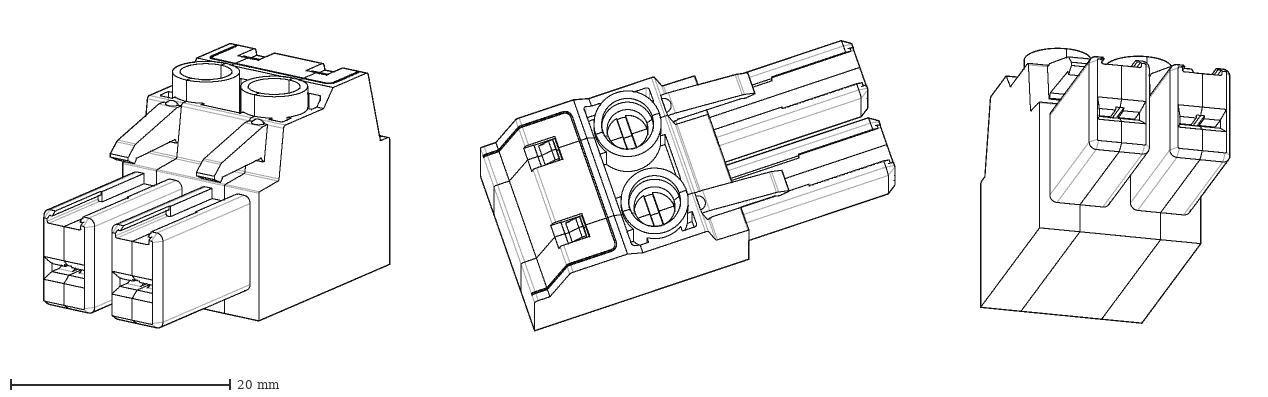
import cadquery as cq

PITCH = 7.6
WIDTH = 2 * PITCH
POLES = (-PITCH / 2, PITCH / 2)
REAR_Y = 20.65
PRONG_TIP_Y = REAR_Y - 35.25

LEDGE_FRONT_Z = 12.35
SLOPE_FOOT_Y = 3.17
SLOPE_FOOT_Z = 12.62
SLOPE_TOP_Y = 3.95
RIM_Z = 17.65
RIM_REAR_Y = 10.22
TOP_FRONT_Y = 11.7
TOP_Z = 19.28
TOP_REAR_Y = 17.2
REAR_STEP_Y = 19.18
REAR_STEP_Z = 12.23
EDGE_RADIUS = 0.35
RIM_EDGE_RADIUS = 0.28
FOOT_RADIUS = 0.18
FRONT_EDGE_RADIUS = 0.1

TUBE_Y = 7.8
TUBE_RADIUS = 3.05
TUBE_TOP_Z = 19.7
WELL_RADIUS = 2.35
BORE_RADIUS = 1.87
CONE_TOP_Z = 18.15
CONE_BOTTOM_Z = 17.25
SCREW_HEAD_Z = 14.8
DRIVER_SLOT_WIDTH = 0.85
DRIVER_SLOT_DEPTH = 0.7

POCKET_FRONT_Y = 4.72
POCKET_REAR_Y = 11.0
POCKET_WIDTH = 13.7
POCKET_CORNER_RADIUS = 0.25
POCKET_FLOOR_Z = 13.4
RIB_WIDTH = 3.25
REAR_RIB_Z = 18.5

PANEL_WIDTH = 13.75
PANEL_FRONT_Y = 12.3
PANEL_CORNER_RADIUS = 0.7
GROOVE_WIDTH = 0.15
GROOVE_DEPTH = 0.15

NOTCH_WIDTH = 2.25
NOTCH_FRONT_Y = 14.4
NOTCH_STEP_Y = 16.43
NOTCH_REAR_FLOOR_Z = 18.55
NOTCH_FRONT_FLOOR_Z = 18.4
RAMP_WIDTH = 1.87
RAMP_FRONT_Y = 14.65
RAMP_CREST_Y = 15.1
RAMP_REAR_Y = 16.05
RAMP_TOP_Z = 19.1

PRONG_WIDTH = 5.68
PRONG_BOTTOM_Z = 2.65
PRONG_TOP_Z = 11.75
PRONG_CORNER_RADIUS = 0.67
TIP_INSET = 0.55
TIP_LENGTH = 0.85

CHANNEL_FLOOR_Z = 10.75
CHANNEL_REAR_WIDTH = 2.82
CHANNEL_FRONT_WIDTH = 3.1
CHANNEL_STEP_Y = -6.6
UNDERCUT_WIDTH = 3.75
UNDERCUT_HEIGHT = 0.65
UNDERCUT_RADIUS = 0.18

FUNNEL_WIDTH = PRONG_WIDTH - 2 * TIP_INSET
FUNNEL_BOTTOM_Z = 5.3
FUNNEL_TOP_Z = 7.47
FUNNEL_DEPTH = 0.78
OPENING_WIDTH = 3.8
OPENING_BOTTOM_Z = 5.9
OPENING_TOP_Z = 6.65
OPENING_DEPTH = 1.75
OPENING_RADIUS = 0.7
CONTACT_GAP_WIDTH = 0.75
CONTACT_GAP_TOP_Z = 6.87
CONTACT_GAP_DEPTH = 2.1

LATCH_WIDTH = 2.0
LATCH_ROOT_Y = 4.6
LATCH_ROOT_Z = 14.05
LATCH_FLAT_Z = 17.45
LATCH_FLAT_Y = 3.17
LATCH_BEND_Y = -3.4
LATCH_BEND_Z = 15.65
LATCH_BEND_RADIUS = 0.53
LATCH_NOSE_Y = -4.48
LATCH_NOSE_TOP_Z = 14.7
LATCH_NOSE_BOTTOM_Z = 14.38
HOOK_Y = -3.5
HOOK_Z = 13.85
HOOK_REAR_Y = -3.15
LATCH_UNDERSIDE_FRONT_Z = 14.28
LATCH_HEEL_Y = 2.93
LATCH_UNDERSIDE_REAR_Z = 14.5
DOME_RADIUS = 0.67
DOME_HEIGHT = 0.3


def box(x0, x1, y0, y1, z0, z1):
    return cq.Workplane("XY").box(x1 - x0, y1 - y0, z1 - z0, centered=False).translate((x0, y0, z0))


def pole_box(x, width, y0, y1, z0, z1):
    return box(x - width / 2, x + width / 2, y0, y1, z0, z1)


def side_profile(points, x, width):
    """Extrudes a closed (Y, Z) outline over a width centred on x."""
    return cq.Workplane("YZ").polyline(points).close().extrude(width / 2, both=True).translate((x, 0, 0))


def cylinder(x, radius, z0, z1):
    return cq.Workplane("XY", origin=(x, TUBE_Y, z0)).circle(radius).extrude(z1 - z0)


def round_edge(body, x, y, z, radius):
    """Rounds the edge along X whose middle is at (x, y, z)."""
    return body.edges("|X").edges(cq.selectors.NearestToPointSelector((x, y, z))).fillet(radius)


def housing_block():
    block = side_profile(
        [
            (0, 0),
            (0, LEDGE_FRONT_Z),
            (SLOPE_FOOT_Y, SLOPE_FOOT_Z),
            (SLOPE_TOP_Y, RIM_Z),
            (RIM_REAR_Y, RIM_Z),
            (TOP_FRONT_Y, TOP_Z),
            (TOP_REAR_Y, TOP_Z),
            (REAR_STEP_Y, REAR_STEP_Z),
            (REAR_Y, REAR_STEP_Z),
            (REAR_Y, 0),
        ],
        0,
        WIDTH,
    )
    block = round_edge(block, 0, 0, LEDGE_FRONT_Z, FRONT_EDGE_RADIUS)
    block = round_edge(block, 0, SLOPE_FOOT_Y, SLOPE_FOOT_Z, FOOT_RADIUS)
    block = round_edge(block, 0, SLOPE_TOP_Y, RIM_Z, RIM_EDGE_RADIUS)
    block = round_edge(block, 0, TOP_REAR_Y, TOP_Z, EDGE_RADIUS)
    return round_edge(block, 0, REAR_Y, REAR_STEP_Z, EDGE_RADIUS)


def panel_plan(inset):
    """Plan of the panel, open-ended past the rear face."""
    half_width = PANEL_WIDTH / 2 - inset
    plan = box(-half_width, half_width, PANEL_FRONT_Y + inset, REAR_Y + 0.35, 0, TOP_Z)
    return plan.edges("|Z and <Y").fillet(PANEL_CORNER_RADIUS - inset)


def panel_groove(block):
    """The skin of the block, one groove depth thick, along the panel outline."""
    outline = panel_plan(0).cut(panel_plan(GROOVE_WIDTH))
    return outline.cut(block.translate((0, 0, -GROOVE_DEPTH)))


def screw_pocket():
    pocket = box(
        -POCKET_WIDTH / 2, POCKET_WIDTH / 2, POCKET_FRONT_Y, POCKET_REAR_Y, POCKET_FLOOR_Z, TUBE_TOP_Z
    )
    return pocket.edges("|Z").fillet(POCKET_CORNER_RADIUS)


def tube_ribs(x):
    """Ribs from one tube to the front, rear and outer walls of the pocket."""
    outer_x = POCKET_WIDTH / 2 if x > 0 else -POCKET_WIDTH / 2
    front = pole_box(x, RIB_WIDTH, POCKET_FRONT_Y, TUBE_Y, POCKET_FLOOR_Z, RIM_Z)
    rear = pole_box(x, RIB_WIDTH, TUBE_Y, POCKET_REAR_Y, POCKET_FLOOR_Z, REAR_RIB_Z)
    outer = box(
        min(x, outer_x), max(x, outer_x),
        TUBE_Y - RIB_WIDTH / 2, TUBE_Y + RIB_WIDTH / 2,
        POCKET_FLOOR_Z, RIM_Z,
    )
    return front.union(rear).union(outer)


def screw_well(x):
    """Stepped bore of one tube down to the screw head, with the driver slot."""
    bore = (
        cq.Workplane("XZ", origin=(x, TUBE_Y, 0))
        .moveTo(0, SCREW_HEAD_Z)
        .lineTo(BORE_RADIUS, SCREW_HEAD_Z)
        .lineTo(BORE_RADIUS, CONE_BOTTOM_Z)
        .lineTo(WELL_RADIUS, CONE_TOP_Z)
        .lineTo(WELL_RADIUS, TUBE_TOP_Z)
        .lineTo(0, TUBE_TOP_Z)
        .close()
        .revolve(360, (0, 0, 0), (0, 1, 0))
    )
    slot = pole_box(
        x, 2 * BORE_RADIUS,
        TUBE_Y - DRIVER_SLOT_WIDTH / 2, TUBE_Y + DRIVER_SLOT_WIDTH / 2,
        SCREW_HEAD_Z - DRIVER_SLOT_DEPTH, SCREW_HEAD_Z,
    )
    return bore.union(slot.intersect(cylinder(x, BORE_RADIUS, 0, SCREW_HEAD_Z)))


def test_notch(x):
    front = pole_box(x, NOTCH_WIDTH, NOTCH_FRONT_Y, NOTCH_STEP_Y, NOTCH_FRONT_FLOOR_Z, TOP_Z)
    rear = pole_box(x, NOTCH_WIDTH, NOTCH_STEP_Y, REAR_Y, NOTCH_REAR_FLOOR_Z, TOP_Z)
    ramp = side_profile(
        [
            (RAMP_FRONT_Y, NOTCH_FRONT_FLOOR_Z),
            (RAMP_FRONT_Y, RAMP_TOP_Z),
            (RAMP_CREST_Y, RAMP_TOP_Z),
            (RAMP_REAR_Y, NOTCH_FRONT_FLOOR_Z),
        ],
        x,
        RAMP_WIDTH,
    )
    return front.union(rear).cut(ramp)


def prong_blank(x):
    blank = pole_box(x, PRONG_WIDTH, PRONG_TIP_Y, 0.35, PRONG_BOTTOM_Z, PRONG_TOP_Z)
    blank = blank.edges("|Y").fillet(PRONG_CORNER_RADIUS)
    return blank.faces("<Y").chamfer(TIP_INSET, TIP_LENGTH)


def keying_channel(x):
    rear = pole_box(x, CHANNEL_REAR_WIDTH, CHANNEL_STEP_Y, 0, CHANNEL_FLOOR_Z, PRONG_TOP_Z)
    front = pole_box(x, CHANNEL_FRONT_WIDTH, PRONG_TIP_Y, CHANNEL_STEP_Y, CHANNEL_FLOOR_Z, PRONG_TOP_Z)
    undercut = pole_box(
        x, UNDERCUT_WIDTH, PRONG_TIP_Y, CHANNEL_STEP_Y,
        CHANNEL_FLOOR_Z, CHANNEL_FLOOR_Z + UNDERCUT_HEIGHT,
    )
    undercut = undercut.edges("|Y and <Z").fillet(UNDERCUT_RADIUS)
    return rear.union(front).union(undercut)


def contact_opening(x):
    funnel_end_y = PRONG_TIP_Y + FUNNEL_DEPTH
    back_y = funnel_end_y + OPENING_DEPTH
    funnel_z = (FUNNEL_BOTTOM_Z + FUNNEL_TOP_Z) / 2
    opening_z = (OPENING_BOTTOM_Z + OPENING_TOP_Z) / 2
    funnel = (
        cq.Workplane("XZ", origin=(x, PRONG_TIP_Y, funnel_z))
        .rect(FUNNEL_WIDTH, FUNNEL_TOP_Z - FUNNEL_BOTTOM_Z)
        .workplane(offset=-FUNNEL_DEPTH)
        .center(0, opening_z - funnel_z)
        .rect(OPENING_WIDTH, OPENING_TOP_Z - OPENING_BOTTOM_Z)
        .loft()
    )
    opening = pole_box(x, OPENING_WIDTH, funnel_end_y, back_y, OPENING_BOTTOM_Z, OPENING_TOP_Z)
    opening = opening.edges("|X and >Y and <Z").fillet(OPENING_RADIUS)
    gap = pole_box(
        x, CONTACT_GAP_WIDTH, PRONG_TIP_Y, back_y + CONTACT_GAP_DEPTH, OPENING_BOTTOM_Z, CONTACT_GAP_TOP_Z
    )
    return funnel.union(opening).union(gap)


def connector():
    """The whole plug apart from its latches, before it is divided into modules."""
    block = housing_block()
    body = block.cut(panel_groove(block)).cut(screw_pocket())
    for x in POLES:
        body = body.union(tube_ribs(x))
        body = body.union(cylinder(x, TUBE_RADIUS, POCKET_FLOOR_Z, TUBE_TOP_Z))
        body = body.union(prong_blank(x))
        body = body.cut(screw_well(x)).cut(test_notch(x))
        body = body.cut(keying_channel(x)).cut(contact_opening(x))
    return body


def latch_dome(x):
    """Front half of a spherical cap, set against the front wall on the latch root."""
    sphere_radius = (DOME_RADIUS**2 + DOME_HEIGHT**2) / (2 * DOME_HEIGHT)
    center_z = LATCH_FLAT_Z + DOME_HEIGHT - sphere_radius
    sphere = cq.Workplane("XY").sphere(sphere_radius).translate((x, SLOPE_TOP_Y, center_z))
    front = pole_box(x, LATCH_WIDTH, SLOPE_TOP_Y - sphere_radius, SLOPE_TOP_Y, 0, TUBE_TOP_Z)
    return sphere.intersect(front)


def latch(side):
    """Hooked arm reaching forward from the front wall, with a low dome on its root."""
    x = side * (PITCH + LATCH_WIDTH) / 2
    arm = side_profile(
        [
            (LATCH_ROOT_Y, LATCH_FLAT_Z),
            (LATCH_FLAT_Y, LATCH_FLAT_Z),
            (LATCH_BEND_Y, LATCH_BEND_Z),
            (LATCH_NOSE_Y, LATCH_NOSE_TOP_Z),
            (LATCH_NOSE_Y, LATCH_NOSE_BOTTOM_Z),
            (HOOK_Y, HOOK_Z),
            (HOOK_REAR_Y, LATCH_UNDERSIDE_FRONT_Z),
            (LATCH_HEEL_Y, LATCH_UNDERSIDE_REAR_Z),
            (SLOPE_FOOT_Y, LATCH_ROOT_Z),
            (LATCH_ROOT_Y, LATCH_ROOT_Z),
        ],
        x,
        LATCH_WIDTH,
    )
    arm = round_edge(arm, x, LATCH_BEND_Y, LATCH_BEND_Z, LATCH_BEND_RADIUS)
    return arm.union(latch_dome(x))


def middle_module(plug):
    """The slice between the two pole axes."""
    return plug.intersect(pole_box(0, PITCH, PRONG_TIP_Y, REAR_Y, 0, TUBE_TOP_Z))


def end_module(plug, side):
    """The slice outside one pole axis (side is -1 or 1), with its latch."""
    x = side * (PITCH + WIDTH) / 4
    outer_slice = plug.intersect(pole_box(x, PITCH / 2, PRONG_TIP_Y, REAR_Y, 0, TUBE_TOP_Z))
    return outer_slice.union(latch(side))


plug = connector()
middle = middle_module(plug)
ends = [end_module(plug, side) for side in (-1, 1)]

result = cq.Compound.makeCompound([middle.val(), *(end.val() for end in ends)])